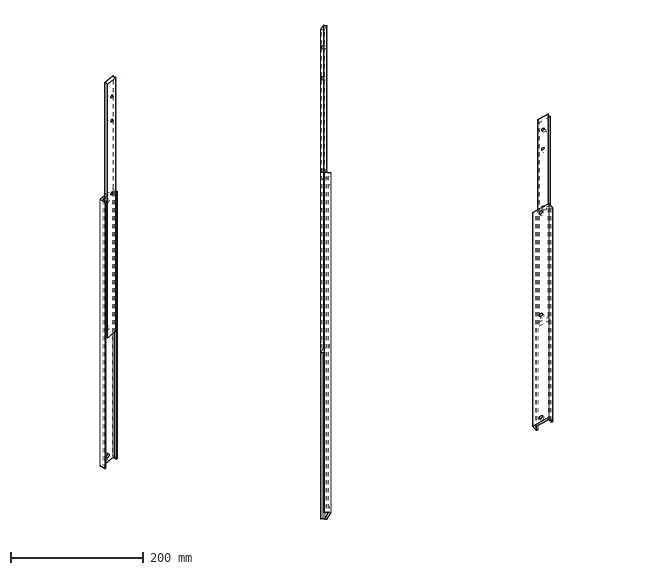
import cadquery as cq

channel_length = 550.0
channel_width = 30.0
channel_depth = 10.0
web_thickness = 3.5
flange_thickness = 3.0
opening_width = channel_width - 2 * flange_thickness

total_height = 790.0
total_depth = 11.0
rail_length = 523.0
rail_width = 20.0
back_gap = 1.5
rail_back = web_thickness + back_gap
rail_bottom = total_height - rail_length

ball_diameter = 4.0
track_center_x = (rail_back + total_depth) / 2
track_center_y = (rail_width + opening_width) / 4

channel_hole_diameter = 6.5
channel_hole_end_distance = 12.0
channel_hole_heights = [
    channel_hole_end_distance,
    channel_length / 2,
    channel_length - channel_hole_end_distance,
]
rail_hole_diameter = 5.0
rail_hole_drops = [32.0, 82.0, 232.0]


def bar(x_start, x_end, width, z_start, length):
    """Rectangular bar along Z, centred on Y = 0."""
    depth = x_end - x_start
    return (
        cq.Workplane("XY", origin=(x_start + depth / 2, 0, z_start))
        .rect(depth, width)
        .extrude(length)
    )


def cross_holes(heights, diameter):
    """Cylinders along X at the given heights, long enough to cross either body."""
    return (
        cq.Workplane("YZ")
        .pushPoints([(0, height) for height in heights])
        .circle(diameter / 2)
        .extrude(total_depth)
    )


def ball_tracks(z_start, length):
    """Round bars along Z, one on each side, that cut the ball tracks."""
    return (
        cq.Workplane("XY", origin=(track_center_x, 0, z_start))
        .pushPoints([(0, -track_center_y), (0, track_center_y)])
        .circle(ball_diameter / 2)
        .extrude(length)
    )


def make_channel():
    body = bar(0, channel_depth, channel_width, 0, channel_length)
    opening = bar(web_thickness, channel_depth, opening_width, 0, channel_length)
    body = body.cut(opening)
    body = body.cut(ball_tracks(0, channel_length))
    return body.cut(cross_holes(channel_hole_heights, channel_hole_diameter))


def make_rail():
    body = bar(rail_back, total_depth, rail_width, rail_bottom, rail_length)
    body = body.cut(ball_tracks(rail_bottom, rail_length))
    heights = [total_height - drop for drop in rail_hole_drops]
    return body.cut(cross_holes(heights, rail_hole_diameter))


channel = make_channel()
rail = make_rail()
result = cq.Compound.makeCompound([channel.val(), rail.val()])